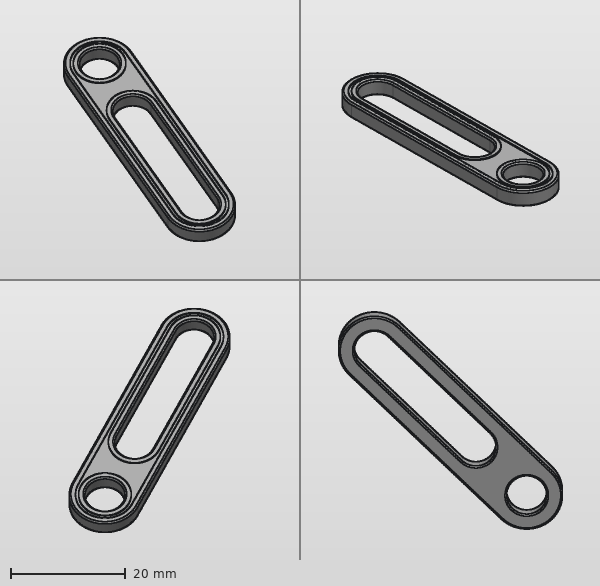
import cadquery as cq

length = 50.0
width = 12.5
thickness = 3.1
opening_width = 7.0
slot_center_distance = 25.0
edge_chamfer = 0.3
rim_width = 1.1
recess_depth = 0.2

collar_width = opening_width + 2 * rim_width

end_center_x = (length - width) / 2
slot_center_x = end_center_x - slot_center_distance / 2


def rounded_bar(center_x, center_distance, bar_width, height):
    """Round-ended bar standing on Z = 0, given the distance between its end centers."""
    return (
        cq.Workplane("XY")
        .center(center_x, 0)
        .slot2D(center_distance + bar_width, bar_width)
        .extrude(height)
    )


def round_post(diameter, height):
    """Cylinder standing on Z = 0 at the hole end of the link."""
    return cq.Workplane("XY").center(-end_center_x, 0).circle(diameter / 2).extrude(height)


def link_body():
    """Plate with both openings, chamfered along every top and bottom edge."""
    plate = rounded_bar(0, 2 * end_center_x, width, thickness)
    hole = round_post(opening_width, thickness)
    slot = rounded_bar(slot_center_x, slot_center_distance, opening_width, thickness)
    return plate.cut(hole).cut(slot).faces("|Z").edges().chamfer(edge_chamfer)


def top_recess():
    """Shallow pocket inside the rim that leaves a collar around each opening."""
    pocket = rounded_bar(0, 2 * end_center_x, width - 2 * rim_width, recess_depth)
    hole_collar = round_post(collar_width, recess_depth)
    slot_collar = rounded_bar(slot_center_x, slot_center_distance, collar_width, recess_depth)
    floor_z = thickness - recess_depth
    return pocket.cut(hole_collar).cut(slot_collar).translate((0, 0, floor_z))


result = link_body().cut(top_recess())